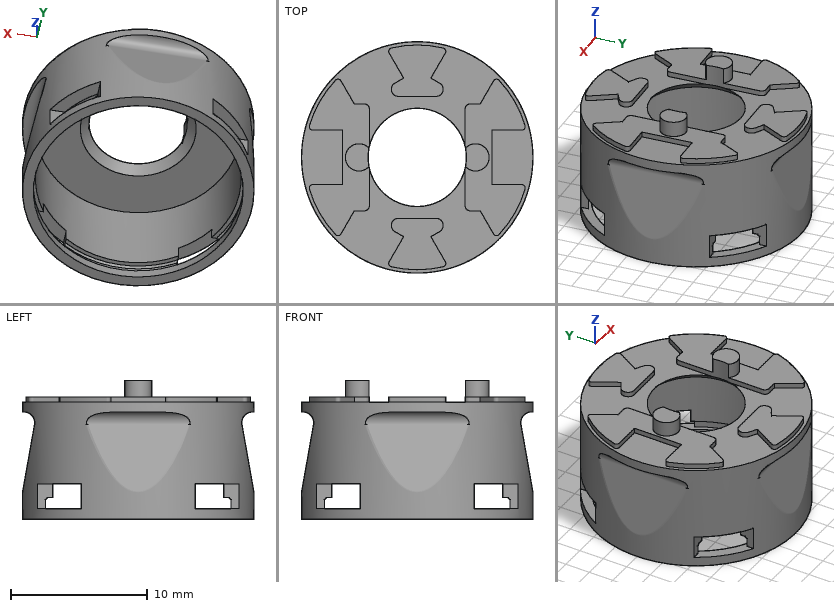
import cadquery as cq
import math

OUTER_RADIUS = 8.5
SHELL_HEIGHT = 8.6
ROOF_THICKNESS = 0.65
CAVITY_RADIUS = 7.55
ROOF_HOLE_RADIUS = 3.6

RIM_RADIUS = 7.7
GROOVE_RADIUS = 8.0
GROOVE_BOTTOM = 0.78
GROOVE_TOP = 1.6
GROOVE_CHAMFER = 0.15

WINDOW_OFFSET = 4.2
WINDOW_BOTTOM = GROOVE_BOTTOM
WINDOW_TOP = 2.6

RECESS_TIP_HEIGHT = 2.0
RECESS_HEEL_HEIGHT = 6.97
RECESS_HEEL_RADIUS = 7.62
RECESS_TOP = 7.87
RECESS_EDGE_FILLET = 0.35
RECESS_COUNT = 4

PAD_THICKNESS = 0.4
PAD_OUTER_RADIUS = 8.25
PAD_CORNER_RADIUS = 0.25
FLARE_ANGLE = math.radians(60)

WAIST_HALF_WIDTH = 1.0
WAIST_Y = 5.82
FOOT_INNER_Y = 4.48
FOOT_CORNER_RADIUS = 0.5
FOOT_HALF_WIDTH = 1.9

BLOCK_INNER_X = 3.52
BLOCK_HALF_LENGTH = 3.92
BLOCK_CORNER_RADIUS = 0.35
SLOT_INNER_X = 5.5
SLOT_HALF_WIDTH = 2.0
WING_ROOT_X = 4.62

PIN_X = 4.28
PIN_RADIUS = 1.0
PIN_TOP = 10.2

OVERLAP = 1.0


def disc(radius, bottom, top):
    """Solid cylinder on the Z axis between two heights."""
    return cq.Workplane("XY").workplane(offset=bottom).circle(radius).extrude(top - bottom)


def at_each_recess(cutter):
    """Copies of a +X side cutter spaced evenly around the shell."""
    return [cutter.rotate((0, 0, 0), (0, 0, 1), index * 360 / RECESS_COUNT) for index in range(RECESS_COUNT)]


def make_recess_flat():
    """Cutter on the +X side for the sloping flat, deepest at its upper end."""
    return (
        cq.Workplane("XZ")
        .moveTo(OUTER_RADIUS, RECESS_TIP_HEIGHT)
        .lineTo(RECESS_HEEL_RADIUS, RECESS_HEEL_HEIGHT)
        .lineTo(OUTER_RADIUS + OVERLAP, RECESS_HEEL_HEIGHT)
        .lineTo(OUTER_RADIUS + OVERLAP, RECESS_TIP_HEIGHT)
        .close()
        .extrude(OUTER_RADIUS, both=True)
    )


def make_recess_curl():
    """Cutter on the +X side for the concave curl, tangent to the flat, that closes it at the top."""
    tip = cq.Vector(OUTER_RADIUS, 0, RECESS_TIP_HEIGHT)
    heel = cq.Vector(RECESS_HEEL_RADIUS, 0, RECESS_HEEL_HEIGHT)
    top = cq.Vector(OUTER_RADIUS, 0, RECESS_TOP)
    top_outer = cq.Vector(OUTER_RADIUS + OVERLAP, 0, RECESS_TOP)
    heel_outer = cq.Vector(OUTER_RADIUS + OVERLAP, 0, RECESS_HEEL_HEIGHT)
    outline = cq.Wire.assembleEdges(
        [
            cq.Edge.makeTangentArc(heel, heel - tip, top),
            cq.Edge.makeLine(top, top_outer),
            cq.Edge.makeLine(top_outer, heel_outer),
            cq.Edge.makeLine(heel_outer, heel),
        ]
    )
    return cq.Workplane("XZ").add(outline).toPending().extrude(OUTER_RADIUS, both=True)


def make_shell():
    """Cup with an outer wall, roof, finger recesses, cavity, rim and snap groove."""
    shell = disc(OUTER_RADIUS, 0, SHELL_HEIGHT)
    for flat in at_each_recess(make_recess_flat()):
        shell = shell.cut(flat)
    shell = shell.edges("%ELLIPSE").fillet(RECESS_EDGE_FILLET)
    for curl in at_each_recess(make_recess_curl()):
        shell = shell.cut(curl)
    shell = shell.cut(disc(RIM_RADIUS, 0, GROOVE_TOP))
    shell = shell.cut(disc(CAVITY_RADIUS, 0, SHELL_HEIGHT - ROOF_THICKNESS))
    groove = disc(GROOVE_RADIUS, GROOVE_BOTTOM, GROOVE_TOP).faces(">Z").chamfer(GROOVE_CHAMFER)
    return shell.cut(groove)


def cut_windows(shell):
    """Square-cut openings at the four diagonals, reaching from inside the wall to beyond it."""
    window_centre = WINDOW_OFFSET + OUTER_RADIUS / 2
    corners = [(x_side * window_centre, y_side * window_centre) for x_side in (-1, 1) for y_side in (-1, 1)]
    windows = (
        cq.Workplane("XY")
        .workplane(offset=WINDOW_BOTTOM)
        .pushPoints(corners)
        .rect(OUTER_RADIUS, OUTER_RADIUS)
        .extrude(WINDOW_TOP - WINDOW_BOTTOM)
    )
    return shell.cut(windows)


def make_waisted_pad():
    """Pad at +Y: a flared head bounded by the pad circle, a narrow waist and a rounded foot."""
    reach = PAD_OUTER_RADIUS - WAIST_Y + OVERLAP
    head_half = WAIST_HALF_WIDTH + reach / math.tan(FLARE_ANGLE)
    foot_y = WAIST_Y - (FOOT_HALF_WIDTH - WAIST_HALF_WIDTH) / math.tan(FLARE_ANGLE)
    right_side = [
        (FOOT_HALF_WIDTH, FOOT_INNER_Y),
        (FOOT_HALF_WIDTH, foot_y),
        (WAIST_HALF_WIDTH, WAIST_Y),
        (head_half, WAIST_Y + reach),
    ]
    left_side = [(-x, y) for x, y in reversed(right_side)]
    blank = (
        cq.Workplane("XY")
        .workplane(offset=SHELL_HEIGHT)
        .polyline(right_side + left_side)
        .close()
        .extrude(PAD_THICKNESS)
    )
    pad = blank.intersect(disc(PAD_OUTER_RADIUS, SHELL_HEIGHT, SHELL_HEIGHT + PAD_THICKNESS))
    pad = pad.edges("|Z").edges(">Y").fillet(PAD_CORNER_RADIUS)
    foot_zone = cq.selectors.BoxSelector(
        (-OUTER_RADIUS, 0, 0), (OUTER_RADIUS, (foot_y + WAIST_Y) / 2, PIN_TOP)
    )
    return pad.edges("|Z").edges(foot_zone).fillet(FOOT_CORNER_RADIUS)


def make_slotted_pad():
    """Pad at +X: a block with a slot open to the outside and a flared wing at each end."""
    wing_reach = OUTER_RADIUS - BLOCK_HALF_LENGTH
    wing_x = WING_ROOT_X + wing_reach / math.tan(FLARE_ANGLE)
    upper_side = [
        (OUTER_RADIUS, SLOT_HALF_WIDTH),
        (OUTER_RADIUS, OUTER_RADIUS),
        (wing_x, OUTER_RADIUS),
        (WING_ROOT_X, BLOCK_HALF_LENGTH),
        (BLOCK_INNER_X, BLOCK_HALF_LENGTH),
    ]
    slot_upper = (SLOT_INNER_X, SLOT_HALF_WIDTH)
    lower_side = [(x, -y) for x, y in reversed([slot_upper] + upper_side)]
    blank = (
        cq.Workplane("XY")
        .workplane(offset=SHELL_HEIGHT)
        .polyline([slot_upper] + upper_side + lower_side)
        .close()
        .extrude(PAD_THICKNESS)
    )
    pad = blank.intersect(disc(PAD_OUTER_RADIUS, SHELL_HEIGHT, SHELL_HEIGHT + PAD_THICKNESS))
    pad = pad.edges("|Z").edges("<X").fillet(BLOCK_CORNER_RADIUS)
    beyond_slot_floor = (SLOT_INNER_X + PAD_CORNER_RADIUS, -OUTER_RADIUS, 0)
    tip_zone = cq.selectors.BoxSelector(beyond_slot_floor, (OUTER_RADIUS, OUTER_RADIUS, PIN_TOP))
    return pad.edges("|Z").edges(tip_zone).fillet(PAD_CORNER_RADIUS)


def make_pin():
    """Pin at +X, standing on the roof through the slotted pad."""
    return disc(PIN_RADIUS, SHELL_HEIGHT, PIN_TOP).translate((PIN_X, 0, 0))


def cut_roof_hole(part):
    """Central hole that flares at 45 degrees through the roof, and clips the pads and pins above it."""
    flare = (
        cq.Workplane("XY")
        .workplane(offset=SHELL_HEIGHT - ROOF_THICKNESS)
        .circle(ROOF_HOLE_RADIUS + ROOF_THICKNESS)
        .workplane(offset=ROOF_THICKNESS)
        .circle(ROOF_HOLE_RADIUS)
        .loft()
    )
    return part.cut(flare).cut(disc(ROOF_HOLE_RADIUS, SHELL_HEIGHT, PIN_TOP))


body = cut_windows(make_shell())
for raised in (make_waisted_pad(), make_slotted_pad(), make_pin()):
    opposite = raised.rotate((0, 0, 0), (0, 0, 1), 180)
    body = body.union(raised).union(opposite)
result = cut_roof_hole(body)